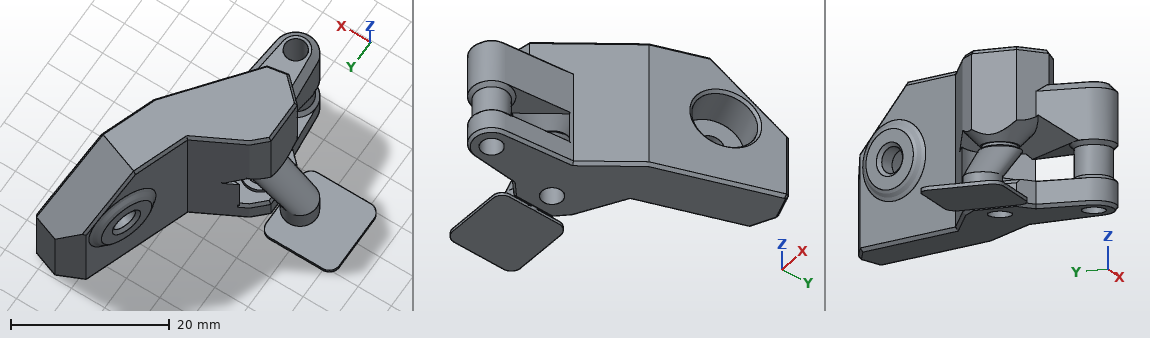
import cadquery as cq
import math


height = 20.8
bevel_height = 0.495
bevel_width = 0.35
bevel_taper = math.degrees(math.atan2(bevel_width, bevel_height))

arm_angle = 20
arm_elbow = (5.58, 8.15)
arm_width = 7.1
arm_length = 18.7
arm_corner_along = 15.95
arm_corner_across = 2.85
slope_start = 8.23

hub_along = 10.25
hub_z = 10.88
hub_rise = 0.87
hub_steps = [(5.25, 0), (4.83, 0.25), (4.4, 0.65), (3.95, hub_rise)]
hub_hole_diameter = 3.5
hub_hole_chamfer = 0.47
recess_diameter = 8.78
recess_chamfer = 0.4
recess_depth = 5.55

lug_center = (2.37, -11.75)
lug_radius = 3.05
lug_flare = 5.5
lug_root_y = -0.8
lug_top = 16.2
lug_chamfer = 1.03
lug_hole_diameter = 3.15
post_diameter = 5.0

plate_top = 3.5
slot_top = 8.45
slot_wall_top = 9.18
slot_radius = 5.05
slot_wall_angle = 21
slot_reach = 23.73
roof_far_angle = 82
roof_far_distance = 6.25

boss_diameter = 5.0
boss_tip_diameter = 4.6
boss_base_z = 8.8
ring_diameter = 4.95
ring_height = 0.6
ring_hole_diameter = 3.15
boss_hole_diameter = 2.8
boss_hole_depth = 5.95
cone_height = 7.9

pad_side = 11.0
pad_thickness = 0.495
pad_corner_radius = 1.5
pad_center_x = -9.0
leg_diameter = 5.0
leg_x = -5.97
leg_knee_z = 3.45
leg_top_diameter = 5.6
leg_top_x = 0.15
leg_top_z = 8.23


def arm_point(along, across):
    """Plan position measured from the inner elbow of the arm."""
    lean = math.radians(arm_angle)
    x = arm_elbow[0] + along * math.sin(lean) + across * math.cos(lean)
    y = arm_elbow[1] + along * math.cos(lean) - across * math.sin(lean)
    return (x, y)


def arm_plane(along, across, z):
    """Upright plane along the arm: local X runs along it, Y is up and Z points across it."""
    lean = math.radians(arm_angle)
    return cq.Plane(
        origin=(*arm_point(along, across), z),
        xDir=(math.sin(lean), math.cos(lean), 0),
        normal=(math.cos(lean), -math.sin(lean), 0),
    )


left_rear = (-3.3, 2.57)
left_front = (-3.3, -3.52)
rear_corner = (-1.35, 4.45)
tip_left = (0, -6.6)
tip_right = (2.95, -6.1)
outer_elbow = arm_point(0, arm_width)
block_outline = [
    left_rear,
    rear_corner,
    arm_elbow,
    arm_point(arm_corner_along, 0),
    arm_point(arm_length, arm_corner_across),
    arm_point(arm_length, arm_width - bevel_width),
    arm_point(arm_length - bevel_width, arm_width),
    outer_elbow,
    tip_right,
    tip_left,
    left_front,
]


def outline_sketch(z):
    return cq.Workplane("XY", origin=(0, 0, z)).polyline(block_outline).close()


def lug_sketch(z):
    flare = math.radians(lug_flare)
    cx, cy = lug_center
    side_x = lug_radius * math.cos(flare)
    side_y = cy - lug_radius * math.sin(flare)
    root_x = side_x + (lug_root_y - side_y) * math.tan(flare)
    return (
        cq.Workplane("XY", origin=(0, 0, z))
        .moveTo(cx + root_x, lug_root_y)
        .lineTo(cx - root_x, lug_root_y)
        .lineTo(cx - side_x, side_y)
        .threePointArc((cx, cy - lug_radius), (cx + side_x, side_y))
        .close()
    )


def disc(diameter, bottom, top, center=(0, 0)):
    return cq.Workplane("XY", origin=(*center, bottom)).circle(diameter / 2).extrude(top - bottom)


def cone(bottom_radius, top_radius, bottom, top, center=(0, 0)):
    solid = cq.Solid.makeCone(bottom_radius, top_radius, top - bottom, cq.Vector(*center, bottom))
    return cq.Workplane(obj=solid)


def make_block():
    """Block and arm with bevelled rims."""
    core = outline_sketch(bevel_height).extrude(height - 2 * bevel_height)
    top_rim = outline_sketch(height - bevel_height).extrude(bevel_height, taper=bevel_taper)
    bottom_rim = outline_sketch(bevel_height).extrude(-bevel_height, taper=bevel_taper)
    return core.union(top_rim).union(bottom_rim)


def slope_cutter():
    """Everything above the 45 degree slope on the arm end."""
    run = height
    return (
        cq.Workplane(arm_plane(slope_start, 0, height))
        .polyline([(0, 0), (run, 0), (run, -run)])
        .close()
        .extrude(arm_width * 1.5, both=True)
    )


def make_lug():
    """Lug over its full height, with a bevelled foot and a chamfered top."""
    body = lug_sketch(bevel_height).extrude(lug_top - bevel_height)
    body = body.faces(">Z").chamfer(lug_chamfer)
    return body.union(lug_sketch(bevel_height).extrude(-bevel_height, taper=bevel_taper))


def across_arm_cone(start_radius, end_radius, start, end):
    """Round solid on the hub axis, between two distances across the arm."""
    plane = arm_plane(hub_along, start, hub_z)
    solid = cq.Solid.makeCone(start_radius, end_radius, end - start, plane.origin, plane.zDir)
    return cq.Workplane(obj=solid)


def across_arm_disc(diameter, start, end):
    return cq.Workplane(arm_plane(hub_along, start, hub_z)).circle(diameter / 2).extrude(end - start)


def add_hub(body):
    """Stepped boss on the inner face of the arm."""
    for (low_radius, low_rise), (high_radius, high_rise) in zip(hub_steps, hub_steps[1:]):
        body = body.union(across_arm_cone(high_radius, low_radius, -high_rise, -low_rise))
    return body


def cut_hub_bore(body):
    """Chamfered hole through the hub and the bearing recess behind it."""
    hole_radius = hub_hole_diameter / 2
    recess_radius = recess_diameter / 2
    hole_mouth = across_arm_cone(
        hole_radius + hub_hole_chamfer, hole_radius, -hub_rise, hub_hole_chamfer - hub_rise
    )
    recess_mouth = across_arm_cone(
        recess_radius, recess_radius + recess_chamfer, arm_width - recess_chamfer, arm_width
    )
    return (
        body.cut(across_arm_disc(hub_hole_diameter, -hub_rise, arm_width))
        .cut(hole_mouth)
        .cut(across_arm_disc(recess_diameter, arm_width - recess_depth, arm_width))
        .cut(recess_mouth)
    )


def slot_sketch():
    """Slot plan: a round end about the pivot, one flat wall, and open sides."""
    angle = math.radians(slot_wall_angle)
    wall_start = (slot_radius * math.cos(angle), slot_radius * math.sin(angle))
    wall_end = (
        wall_start[0] + slot_reach * math.sin(angle),
        wall_start[1] - slot_reach * math.cos(angle),
    )
    half_angle = (angle + math.pi / 2) / 2
    arc_middle = (slot_radius * math.cos(half_angle), slot_radius * math.sin(half_angle))
    return (
        cq.Workplane("XY", origin=(0, 0, plate_top))
        .moveTo(*wall_end)
        .lineTo(*wall_start)
        .threePointArc(arc_middle, (0, slot_radius))
        .lineTo(-slot_reach, slot_radius)
        .lineTo(-slot_reach, wall_end[1])
        .close()
    )


def half_space_below(distance, angle, edge_z):
    """Everything under a 45 degree roof that starts at the given plan distance and direction."""
    turn = math.radians(angle)
    plane = cq.Plane(
        origin=(0, 0, edge_z),
        xDir=(math.cos(turn), math.sin(turn), 0),
        normal=(math.sin(turn), -math.cos(turn), 0),
    )
    low = plate_top - edge_z
    return (
        cq.Workplane(plane)
        .polyline(
            [
                (distance, low),
                (distance, 0),
                (distance - slot_reach, slot_reach),
                (distance - slot_reach, low),
            ]
        )
        .close()
        .extrude(slot_reach, both=True)
    )


def pivot_parts():
    """Ring on the base plate, and the boss tip with the cone that carries it."""
    radius = boss_diameter / 2
    tip = disc(boss_tip_diameter, slot_top, boss_base_z)
    flare = cone(radius, radius + cone_height, boss_base_z, boss_base_z + cone_height)
    ring = disc(ring_diameter, plate_top, plate_top + ring_height)
    return tip.union(flare).union(ring)


def post_parts():
    """Fixed post in the lug, with a conical foot and a cone above it."""
    radius = post_diameter / 2
    shoulder = lug_radius - radius
    flare_base = slot_top - shoulder
    foot = cone(lug_radius, radius, plate_top, plate_top + shoulder, lug_center)
    post = disc(post_diameter, plate_top, slot_top, lug_center)
    flare = cone(radius, radius + cone_height, flare_base, flare_base + cone_height, lug_center)
    return post.union(foot).union(flare)


def cut_slot(body):
    """Open slot whose roof rises at 45 degrees and spares cones over the pivot and the post."""
    run_x = outer_elbow[0] - tip_right[0]
    run_y = outer_elbow[1] - tip_right[1]
    run = math.hypot(run_x, run_y)
    outer_distance = (tip_right[0] * run_y - tip_right[1] * run_x) / run
    front_angle = math.degrees(math.atan2(-run_x, run_y))
    gap = slot_sketch().extrude(slot_top - plate_top)
    wall = slot_sketch().extrude(slot_wall_top - plate_top)
    above_wall = (
        cq.Workplane("XY", origin=(0, 0, slot_wall_top))
        .rect(2 * slot_reach, 2 * slot_reach)
        .extrude(lug_top - slot_wall_top)
    )
    roof = (
        wall.union(above_wall)
        .intersect(half_space_below(outer_distance, front_angle, slot_top))
        .intersect(half_space_below(roof_far_distance, roof_far_angle, slot_wall_top))
    )
    space = gap.union(roof)
    return body.cut(space.cut(pivot_parts()).cut(post_parts()))


def bevel_slope(body):
    """Bevel on the two long edges of the sloped arm end."""
    rim = []
    for end, across in [(arm_corner_along, 0), (arm_length, arm_width)]:
        along = (slope_start + end) / 2
        target = cq.Vector(*arm_point(along, across), height - along + slope_start)
        rim += [edge for edge in body.edges().vals() if (edge.Center() - target).Length < bevel_height]
    return body.newObject([body.val().chamfer(bevel_width, bevel_width, rim)])


def bevel_plate_rim(body):
    """Bevel on the base plate rim along the left and rear-left sides, as far as the slot wall."""
    bottom = plate_top - bevel_height
    bevelled_sides = [
        (left_front[0], -slot_reach),
        left_rear,
        rear_corner,
        arm_elbow,
        (slot_reach, arm_elbow[1]),
        (slot_reach, -slot_reach),
    ]
    upright = (
        cq.Workplane("XY", origin=(0, 0, bottom)).polyline(bevelled_sides).close().extrude(bevel_height)
    )
    tapered = (
        cq.Workplane("XY", origin=(0, 0, bottom))
        .polyline(bevelled_sides)
        .close()
        .extrude(bevel_height, taper=bevel_taper)
    )
    open_side = (
        cq.Workplane("XY", origin=(-slot_reach / 2, 0, bottom))
        .rect(slot_reach, slot_reach)
        .extrude(bevel_height)
    )
    return body.cut(upright.cut(tapered).intersect(open_side))


def make_bracket():
    body = bevel_slope(make_block().cut(slope_cutter()))
    body = add_hub(body).cut(slope_cutter()).union(make_lug())
    body = bevel_plate_rim(cut_slot(cut_hub_bore(body)))
    body = body.cut(disc(lug_hole_diameter, 0, lug_top, lug_center))
    body = body.cut(disc(ring_hole_diameter, 0, plate_top + ring_height))
    return body.cut(disc(boss_hole_diameter, slot_top, slot_top + boss_hole_depth))


def make_support():
    """Square pad with a short leg that leans over to the pivot boss."""
    pad = (
        cq.Workplane("XY", origin=(pad_center_x, 0, 0))
        .rect(pad_side, pad_side)
        .extrude(pad_thickness)
        .edges("|Z")
        .fillet(pad_corner_radius)
    )
    leg = disc(leg_diameter, 0, leg_knee_z, (leg_x, 0))
    strut = (
        cq.Workplane("XY", origin=(leg_x, 0, leg_knee_z))
        .circle(leg_diameter / 2)
        .workplane(offset=leg_top_z - leg_knee_z)
        .center(leg_top_x - leg_x, 0)
        .circle(leg_top_diameter / 2)
        .loft()
    )
    return pad.union(leg).union(strut)


bracket = make_bracket()
support = make_support()
result = cq.Compound.makeCompound([bracket.val(), support.val()])